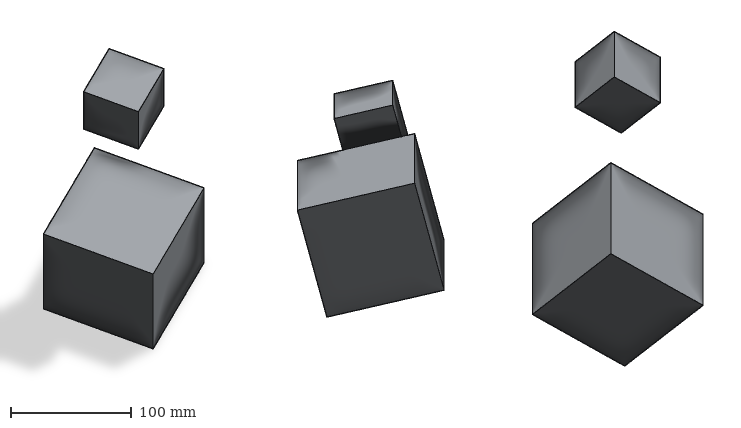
import cadquery as cq

total_height = 275.0
base_side = 100.0
upper_side = base_side / 2

upper_bottom = total_height - upper_side


def make_cube(side, bottom):
    """Cube centred on the Z axis, with its lower face at the given height."""
    return cq.Workplane("XY", origin=(0, 0, bottom)).box(side, side, side, centered=(True, True, False))


base_cube = make_cube(base_side, 0)
upper_cube = make_cube(upper_side, upper_bottom)

result = cq.Compound.makeCompound([base_cube.val(), upper_cube.val()])